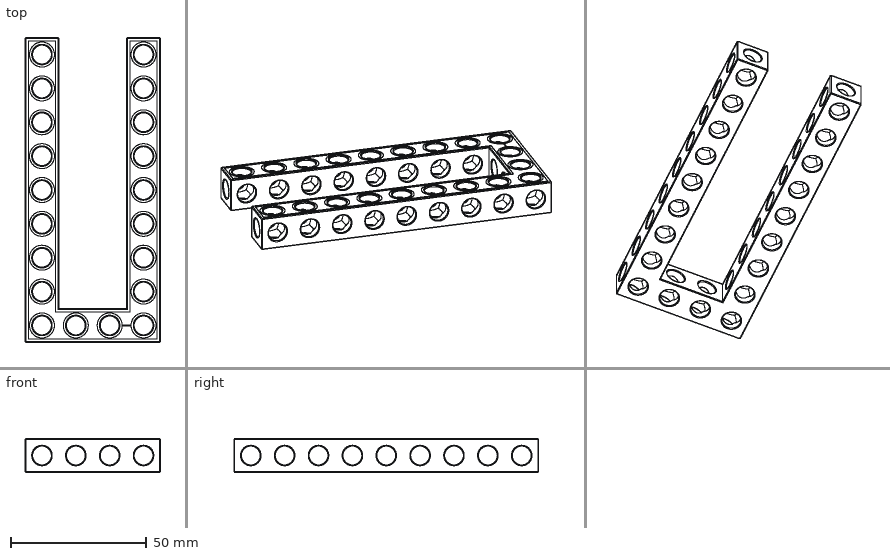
import cadquery as cq

length = 112.5
columns = 4
rows = 9
pitch = length / rows
hole_diameter = 7.0
edge_chamfer = 0.3
mouth_chamfer = 0.3
rim_land = 0.9
ring_diameter = 9.2
recess_depth = 0.1
rib_width = 0.2

width = columns * pitch
height = pitch
top_z = height / 2
opening_width = width - 2 * pitch
rim_width = edge_chamfer + rim_land

column_x = [(i - (columns - 1) / 2) * pitch for i in range(columns)]
row_y = [(i - (rows - 1) / 2) * pitch for i in range(rows)]
base_y = row_y[0]
arm_points = [(x, y) for x in (column_x[0], column_x[-1]) for y in row_y]
base_points = [(x, base_y) for x in column_x[1:-1]]
vertical_points = arm_points + base_points


def u_prism(inset, bottom, depth):
    """U outline offset inward by inset, extruded upward from bottom."""
    base_plane = cq.Workplane("XY", origin=(0, 0, bottom))
    outer = base_plane.rect(width - 2 * inset, length - 2 * inset).extrude(depth)
    opening = base_plane.center(0, pitch - inset).rect(opening_width + 2 * inset, length).extrude(depth)
    return outer.cut(opening)


def hole_cutter(start, direction, span):
    """Cylinder from start along direction for the given span that flares into a chamfer at both mouths."""
    radius = hole_diameter / 2
    mouth_radius = radius + mouth_chamfer
    cylinder = (
        cq.Workplane("XZ")
        .moveTo(0, 0)
        .lineTo(mouth_radius, 0)
        .lineTo(radius, mouth_chamfer)
        .lineTo(radius, span - mouth_chamfer)
        .lineTo(mouth_radius, span)
        .lineTo(0, span)
        .close()
        .revolve(360, (0, 0, 0), (0, 1, 0))
    )
    plane = cq.Plane(origin=start, normal=direction)
    return cylinder.val().moved(cq.Location(plane))


def top_recess():
    """Shallow panel inside the rim, leaving rings around the holes and one rib between two rings."""
    floor_z = top_z - recess_depth
    panel = u_prism(rim_width, floor_z, recess_depth)
    top_plane = cq.Workplane("XY", origin=(0, 0, floor_z))
    rings = top_plane.pushPoints(vertical_points).circle(ring_diameter / 2).extrude(recess_depth)
    rib_x = (column_x[-2] + column_x[-1]) / 2
    rib = top_plane.center(rib_x, base_y).rect(pitch, rib_width).extrude(recess_depth)
    return panel.cut(rings).cut(rib)


body = u_prism(0, -top_z, height)
corner_zone = cq.selectors.BoxSelector(
    (-opening_width, base_y, -edge_chamfer),
    (opening_width, base_y + pitch, edge_chamfer),
)
inside_corners = corner_zone & cq.selectors.StringSyntaxSelector("|Z")
body = body.edges(-inside_corners).chamfer(edge_chamfer)

cutters = [hole_cutter((x, y, -top_z), (0, 0, 1), height) for x, y in vertical_points]

for y in row_y[1:]:
    for x in (column_x[0], column_x[-1]):
        cutters.append(hole_cutter((x - pitch / 2, y, 0), (1, 0, 0), pitch))
cutters.append(hole_cutter((-width / 2, base_y, 0), (1, 0, 0), width))

for x in column_x[1:-1]:
    cutters.append(hole_cutter((x, -length / 2, 0), (0, 1, 0), pitch))
for x in (column_x[0], column_x[-1]):
    cutters.append(hole_cutter((x, -length / 2, 0), (0, 1, 0), length))

body = body.cut(top_recess())
for cutter in cutters:
    body = body.cut(cq.Workplane(cutter))

result = body